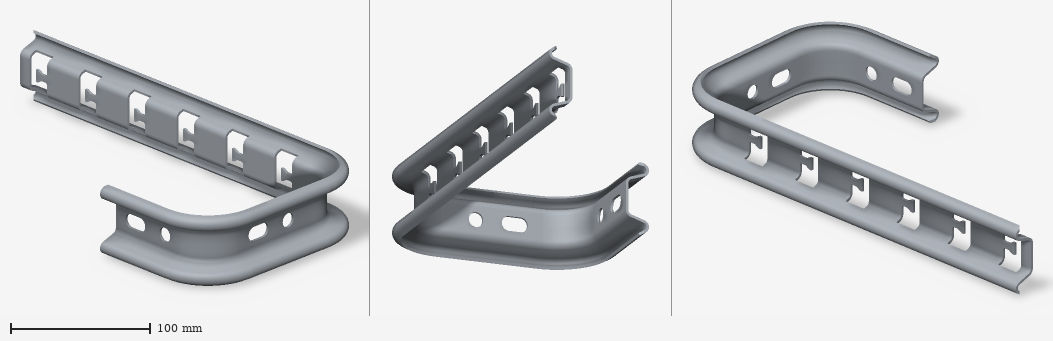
import cadquery as cq
import math

length = 344.5
width = 170.0
height = 55.0
short_arm = 63.7
bend_inner = 28.0

sheet = 2.0
depth = 18.0
web_flat_half = 10.0
web_bend = 5.5
flange_slope = 18.0
curl = 4.8
lip_slope = 30.0
lip_corner = 3.0

slot_count = 6
slot_pitch = 50.0
slot_start = 9.5
slot_length = 18.0
slot_height = 32.5
slot_depth = 7.2
tongue_length = 11.5
tongue_head_half = 4.8
tongue_neck_half = 2.6
tongue_head_length = 2.0
tongue_taper_length = 3.8
tongue_root_flare = 1.0

hole_diameter = 11.0
oblong_length = 20.0
hole_spacing = 30.0
back_hole_offset = 12.5
short_oblong_offset = 20.0

bend_outer = bend_inner + depth
bend_x = length - bend_outer
bend_y = width / 2 - bend_outer
long_web_y = bend_y + bend_inner
back_web_x = bend_x + bend_inner
short_end_x = bend_x - short_arm


def polar(centre, radius, degrees):
    angle = math.radians(degrees)
    return (centre[0] + radius * math.cos(angle), centre[1] + radius * math.sin(angle))


bend_centre = (web_bend, web_flat_half)
bend_end = 90 + flange_slope
bend_mid = (180 + bend_end) / 2
bend_inside = web_bend - sheet

slope = math.radians(flange_slope)
curl_d = depth - curl
rise_from_bend = (curl_d - web_bend) * math.tan(slope)
curl_z = web_flat_half + rise_from_bend + (bend_inside + curl) / math.cos(slope)
curl_centre = (curl_d, curl_z)
curl_start = flange_slope - 90
curl_end = 90 - lip_slope
curl_mid = (curl_start + curl_end) / 2
curl_inside = curl - sheet

lip_angle = math.radians(lip_slope)
lip_start = polar(curl_centre, curl, curl_end)
lip_rise = height / 2 - lip_start[1]
lip_tip = (lip_start[0] - lip_rise / math.tan(lip_angle), height / 2)
lip_tip_inside = polar(lip_tip, sheet, curl_end + 180)


def section_half():
    """Closed outline of the upper half of the section, at the free end of the long arm."""
    return (
        cq.Workplane("YZ", origin=(0, long_web_y, 0))
        .moveTo(0, 0)
        .lineTo(0, web_flat_half)
        .threePointArc(polar(bend_centre, web_bend, bend_mid), polar(bend_centre, web_bend, bend_end))
        .lineTo(*polar(curl_centre, curl_inside, curl_start))
        .threePointArc(polar(curl_centre, curl_inside, curl_mid), polar(curl_centre, curl_inside, curl_end))
        .lineTo(*lip_tip_inside)
        .lineTo(*lip_tip)
        .lineTo(*lip_start)
        .threePointArc(polar(curl_centre, curl, curl_mid), polar(curl_centre, curl, curl_start))
        .lineTo(*polar(bend_centre, bend_inside, bend_end))
        .threePointArc(polar(bend_centre, bend_inside, bend_mid), (sheet, web_flat_half))
        .lineTo(sheet, 0)
        .close()
    )


def hook_path():
    """Line of the web face from the free end of the long arm to that of the short arm."""
    corner = bend_inner * math.sqrt(0.5)
    return (
        cq.Workplane("XY")
        .moveTo(0, long_web_y)
        .lineTo(bend_x, long_web_y)
        .threePointArc((bend_x + corner, bend_y + corner), (back_web_x, bend_y))
        .lineTo(back_web_x, -bend_y)
        .threePointArc((bend_x + corner, -bend_y - corner), (bend_x, -long_web_y))
        .lineTo(short_end_x, -long_web_y)
    )


def channel():
    upper = section_half().sweep(hook_path(), transition="right")
    return upper.union(upper.mirror("XY"))


def lip_corners(end_x, side):
    """Cutter for both lip corners at a free end; side is 1 for the long arm, -1 for the short."""
    tip_y = side * (long_web_y + lip_tip_inside[0])
    corner = [(end_x, tip_y), (end_x + lip_corner, tip_y), (end_x, tip_y + side * lip_corner)]
    upper = (
        cq.Workplane("XY", origin=(0, 0, curl_z))
        .polyline(corner)
        .close()
        .extrude(height / 2 - curl_z)
    )
    return upper.union(upper.mirror("XY"))


def tongued_slot(start):
    """Cutter for one slot; the tongue left standing points to the free end of the arm."""
    end = start + slot_length
    tip = end - tongue_length
    taper_start = tip + tongue_head_length
    taper_end = taper_start + tongue_taper_length
    block = (
        cq.Workplane("XY")
        .box(slot_length, slot_depth, slot_height, centered=(False, False, True))
        .translate((start, long_web_y, 0))
    )
    root_start = end - tongue_root_flare
    root_half = tongue_neck_half + tongue_root_flare
    upper_edge = [
        (tip, tongue_head_half),
        (taper_start, tongue_head_half),
        (taper_end, tongue_neck_half),
        (root_start, tongue_neck_half),
        (end, root_half),
    ]
    lower_edge = [(x, -z) for x, z in reversed(upper_edge)]
    tongue = (
        cq.Workplane("XZ", origin=(0, long_web_y, 0))
        .polyline(upper_edge + lower_edge)
        .close()
        .extrude(-slot_depth)
    )
    return block.cut(tongue)


def hole_pair(plane, round_at, oblong_at):
    """Cutter for a round and an oblong hole on a plane whose first axis runs along the web."""
    reach = 2 * sheet
    oblong = cq.Workplane(plane).center(oblong_at, 0).slot2D(oblong_length, hole_diameter)
    round_hole = cq.Workplane(plane).center(round_at, 0).circle(hole_diameter / 2)
    return oblong.extrude(reach, both=True).union(round_hole.extrude(reach, both=True))


def back_holes():
    plane = cq.Plane(origin=(back_web_x, 0, 0), xDir=(0, 1, 0), normal=(1, 0, 0))
    return hole_pair(plane, back_hole_offset, back_hole_offset - hole_spacing)


def short_arm_holes():
    plane = cq.Plane(origin=(short_end_x, -long_web_y, 0), xDir=(1, 0, 0), normal=(0, -1, 0))
    return hole_pair(plane, short_oblong_offset + hole_spacing, short_oblong_offset)


result = channel()
for index in range(slot_count):
    result = result.cut(tongued_slot(slot_start + index * slot_pitch))
result = result.cut(lip_corners(0, 1)).cut(lip_corners(short_end_x, -1))
result = result.cut(back_holes()).cut(short_arm_holes())